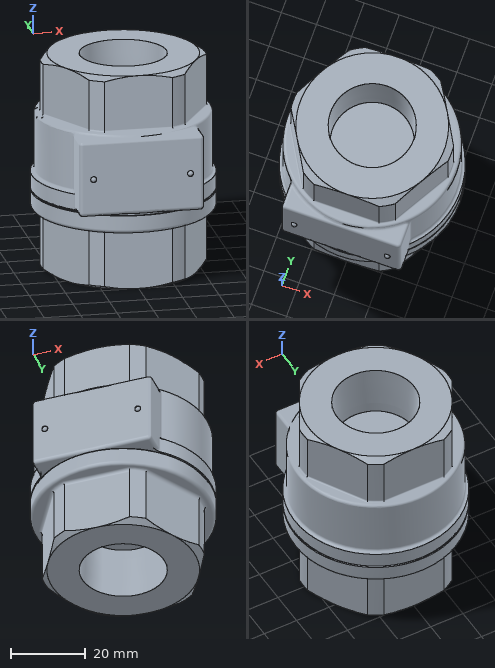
import cadquery as cq
import math

height = 60.0
half_height = height / 2

across_flats = 41.0
corner_diameter = 45.0
chamfer_angle = 30.0

collar_radius = 24.0
flange_radius = 24.99
collar_top = 14.5
flange_top = -3.0
groove_top = -7.5
groove_width = 0.5
groove_depth = 0.5
ring_bottom = -13.0
round_radius = flange_radius - collar_radius

upper_hex_fillet = 0.5
lower_hex_fillet = round_radius

housing_width = 34.0
housing_front = 25.0
housing_top = 13.5
housing_bottom = groove_top
housing_height = housing_top - housing_bottom
housing_middle = (housing_top + housing_bottom) / 2

pin_radius = 0.81
pin_spacing = 26.5

socket_mouth_diameter = 23.65
socket_inner_diameter = 22.6
socket_taper_depth = 12.0
socket_depth = 15.0

edge_margin = 0.05


def revolve_profile(profile):
    """Turn a profile drawn in the XZ plane about the Z axis."""
    return profile.close().revolve(360, (0, 0, 0), (0, 1, 0))


def make_middle():
    """Collar, flange, thin groove and ring as one turned piece."""
    r = round_radius
    mid = r * math.sqrt(0.5)
    groove_radius = flange_radius - groove_depth
    ring_top = groove_top - groove_width
    profile = (
        cq.Workplane("XZ")
        .moveTo(0, collar_top)
        .lineTo(collar_radius - r, collar_top)
        .threePointArc((collar_radius - r + mid, collar_top - r + mid), (collar_radius, collar_top - r))
        .lineTo(collar_radius, flange_top + r)
        .threePointArc((flange_radius - mid, flange_top + r - mid), (flange_radius, flange_top))
        .lineTo(flange_radius, groove_top)
        .lineTo(groove_radius, groove_top)
        .lineTo(groove_radius, ring_top)
        .lineTo(flange_radius, ring_top)
        .lineTo(flange_radius, ring_bottom + r)
        .threePointArc((flange_radius - r + mid, ring_bottom + r - mid), (flange_radius - r, ring_bottom))
        .lineTo(0, ring_bottom)
    )
    return revolve_profile(profile)


def make_hexagons():
    """Full-height hexagon with turned corners and both ends chamfered."""
    corner_radius = corner_diameter / 2
    face_radius = across_flats / 2
    chamfer_height = (corner_radius - face_radius) * math.tan(math.radians(chamfer_angle))
    blank = revolve_profile(
        cq.Workplane("XZ")
        .moveTo(0, half_height)
        .lineTo(face_radius, half_height)
        .lineTo(corner_radius, half_height - chamfer_height)
        .lineTo(corner_radius, chamfer_height - half_height)
        .lineTo(face_radius, -half_height)
        .lineTo(0, -half_height)
    )
    for angle in (0, 60, 120):
        slab = cq.Workplane("XY").box(2 * corner_diameter, across_flats, height)
        blank = blank.intersect(slab.rotate((0, 0, 0), (0, 0, 1), angle))
    return blank


def fillet_hexagon_foot(body, level, radius):
    """Fillet the edges where a hexagon meets the flat face at the given level."""
    reach = corner_diameter / 2 + edge_margin
    foot = cq.selectors.BoxSelector(
        (-reach, -reach, level - edge_margin), (reach, reach, level + edge_margin), boundingbox=True
    )
    return body.edges(foot).fillet(radius)


def make_housing():
    """Block reaching from the axis to the front face, its upper and upright outer edges rounded."""
    block = cq.Workplane("XY").box(housing_width, housing_front, housing_height)
    block = block.translate((0, -housing_front / 2, housing_middle))
    return block.edges("(<Y and |Z) or (>Z and (not >Y))").fillet(round_radius)


def make_socket():
    """Solid that cuts the socket in the upper end."""
    mouth = socket_mouth_diameter / 2
    inner = socket_inner_diameter / 2
    return revolve_profile(
        cq.Workplane("XZ")
        .moveTo(0, half_height)
        .lineTo(mouth, half_height)
        .lineTo(inner, half_height - socket_taper_depth)
        .lineTo(inner, half_height - socket_depth)
        .lineTo(0, half_height - socket_depth)
    )


def round_housing_bottom(body):
    """Round the housing's lower edges, above the groove under the flange."""
    reach = housing_width / 2 + edge_margin
    rim = cq.selectors.BoxSelector(
        (-reach, -housing_front - edge_margin, housing_bottom - edge_margin),
        (reach, -round_radius, housing_bottom + edge_margin),
    )
    return body.edges("|X or |Y").edges(rim).fillet(round_radius)


def fillet_housing_sides(body):
    """Fillet the inside corners where the housing meets the collar and the flange."""
    reach = housing_width / 2 + edge_margin
    corners = cq.selectors.BoxSelector(
        (-reach, 2 * round_radius - housing_front, housing_bottom),
        (reach, -round_radius, housing_top),
    )
    return body.edges("|Z").edges(corners).fillet(round_radius)


def make_pins():
    """Half-sunk balls that stand out of the housing front as domes."""
    return (
        cq.Workplane("XY", origin=(0, -housing_front, housing_middle))
        .rarray(pin_spacing, 0.6, 2, 1)
        .sphere(pin_radius)
    )


body = make_middle().union(make_housing())
body = round_housing_bottom(body)
body = fillet_housing_sides(body)
body = body.union(make_hexagons())
body = fillet_hexagon_foot(body, collar_top, upper_hex_fillet)
body = fillet_hexagon_foot(body, ring_bottom, lower_hex_fillet)
body = body.union(make_pins())

socket = make_socket()
result = body.cut(socket).cut(socket.mirror("XY"))